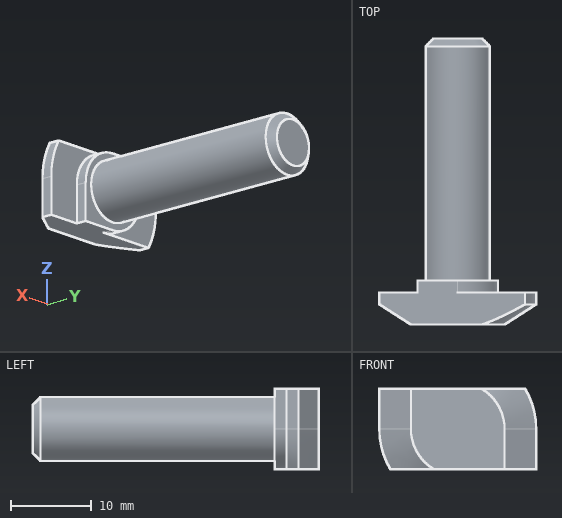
import cadquery as cq

total_length = 35.5
head_length = 19.5
head_height = 10.0
face_length = 11.6
taper_depth = 2.52
flange_depth = 1.5
neck_depth = 1.5
shank_diameter = 8.0
tip_chamfer = 1.0

head_half = head_length / 2
face_half = face_length / 2
half_height = head_height / 2
flange_back = taper_depth + flange_depth
neck_back = flange_back + neck_depth

head_half_section = [
    (0, 0),
    (face_half, 0),
    (head_half, taper_depth),
    (head_half, flange_back),
    (0, flange_back),
]


def revolved_head():
    """Head section turned about the bolt axis, trimmed to the head height."""
    turned = cq.Workplane("XY").polyline(head_half_section).close().revolve(360, (0, 0), (0, 1))
    slab = cq.Workplane("XY").box(head_length, total_length, head_height)
    return turned.intersect(slab)


def square_quarter():
    """Upper -X quarter of the head and neck, with square corners."""
    mirrored_section = [(-x, y) for x, y in head_half_section]
    head = cq.Workplane("XY").polyline(mirrored_section).close().extrude(half_height)
    neck = cq.Workplane("XY").box(half_height, neck_back, half_height, centered=False)
    return head.union(neck.translate((-half_height, 0, 0)))


def cylinder_along_axis(diameter, start, end):
    """Cylinder on the bolt axis between two Y positions."""
    workplane = cq.Workplane("XZ", origin=(0, start, 0))
    return workplane.circle(diameter / 2).extrude(start - end)


neck = cylinder_along_axis(head_height, flange_back, neck_back)
head = revolved_head().union(neck)
for angle in (0, 180):
    head = head.union(square_quarter().rotate((0, 0, 0), (0, 1, 0), angle))

shank = cylinder_along_axis(shank_diameter, flange_back, total_length)
shank = shank.faces(">Y").chamfer(tip_chamfer)

result = head.union(shank)